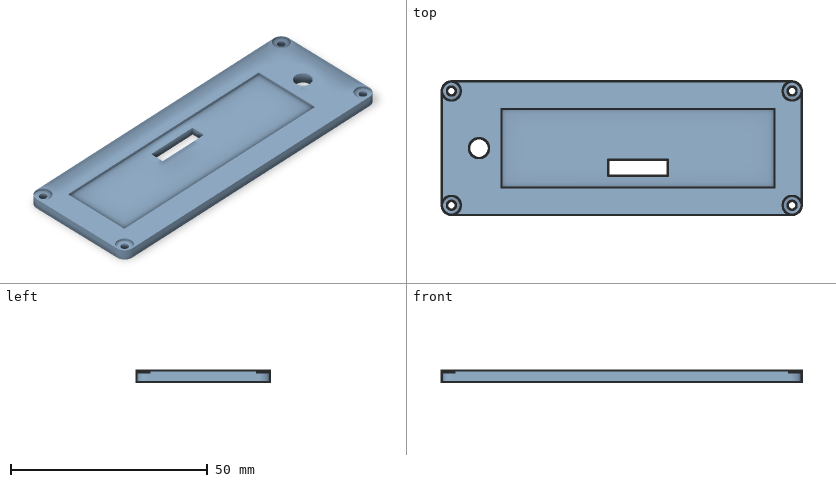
import cadquery as cq

plate_length = 91.5
plate_width = 34.0
plate_thickness = 3.0
corner_radius = 2.7

screw_edge_offset = 2.5
screw_diameter = 2.2
counterbore_diameter = 4.8
counterbore_depth = 0.6

round_hole_diameter = 5.0
round_hole_from_left = 9.5

recess_left_margin = 15.25
recess_right_margin = 7.0
recess_width = 20.0
recess_depth = 0.8

slot_length = 15.0
slot_width = 4.05
slot_from_recess_front = 3.0

plate_left_x = -plate_length / 2
screw_x = plate_length / 2 - screw_edge_offset
screw_y = plate_width / 2 - screw_edge_offset
round_hole_x = plate_left_x + round_hole_from_left
recess_length = plate_length - recess_left_margin - recess_right_margin
recess_x = plate_left_x + recess_left_margin + recess_length / 2
slot_y = -recess_width / 2 + slot_from_recess_front + slot_width / 2


def make_plate():
    """Rounded rectangular plate centred in X and Y, resting on Z = 0."""
    plate = cq.Workplane("XY").box(
        plate_length, plate_width, plate_thickness, centered=(True, True, False)
    )
    return plate.edges("|Z").fillet(corner_radius)


def cut_screw_holes(body):
    """Counterbored through holes at the four corners."""
    corners = [(side_x * screw_x, side_y * screw_y) for side_x in (-1, 1) for side_y in (-1, 1)]
    top = cq.Workplane("XY", origin=(0, 0, plate_thickness)).pushPoints(corners)
    holes = top.circle(screw_diameter / 2).extrude(-plate_thickness)
    counterbores = top.circle(counterbore_diameter / 2).extrude(-counterbore_depth)
    return body.cut(holes).cut(counterbores)


def cut_round_hole(body):
    """Plain round through hole on the lengthwise centre line."""
    hole = cq.Workplane("XY").center(round_hole_x, 0).circle(round_hole_diameter / 2)
    return body.cut(hole.extrude(plate_thickness))


def cut_rectangle(body, center, length, width, depth):
    """Rectangular cut going down from the top face, centred on an (x, y) point."""
    top = cq.Workplane("XY", origin=(0, 0, plate_thickness)).center(*center)
    return body.cut(top.rect(length, width).extrude(-depth))


result = make_plate()
result = cut_screw_holes(result)
result = cut_round_hole(result)
result = cut_rectangle(result, (recess_x, 0), recess_length, recess_width, recess_depth)
result = cut_rectangle(result, (recess_x, slot_y), slot_length, slot_width, plate_thickness)